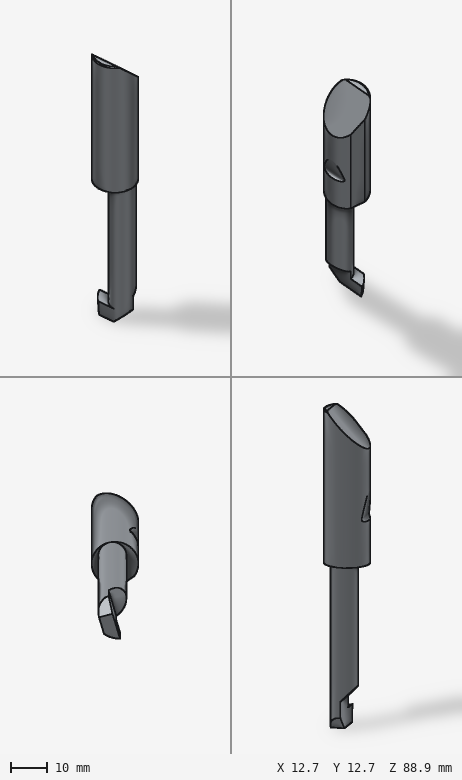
import cadquery as cq
import math

total_length = 88.9
shank_diameter = 12.7
shank_radius = shank_diameter / 2
shank_bottom = 45.8

bevel_start_y = -4.4
rim_chamfer = 0.4
flat_angle = 40.0
flat_direction = 180 - flat_angle / 2
notch_bottom = 58.1
notch_top = 66.3
notch_depth = 1.2
notch_radius = 0.9

neck_diameter = 7.65
neck_radius = neck_diameter / 2
neck_x = shank_radius - neck_radius
relief_face_z = 8.4

head_back_height = 5.0
head_front_height = 4.5
tip_x = -5.3
heel_x = -2.8
flank_bulge = 0.4
flank_lean = 0.31


def make_shank():
    """Round shank with a chamfered, bevelled end, a side flat and a clamping notch."""
    shank = (
        cq.Workplane("XY")
        .workplane(offset=shank_bottom)
        .circle(shank_radius)
        .extrude(total_length - shank_bottom)
        .faces(">Z")
        .chamfer(rim_chamfer)
    )

    bevel_run = shank_diameter
    bevel = (
        cq.Workplane("YZ")
        .moveTo(bevel_start_y, total_length)
        .lineTo(bevel_start_y + bevel_run, total_length)
        .lineTo(bevel_start_y + bevel_run, total_length - bevel_run)
        .close()
        .extrude(shank_radius, both=True)
    )

    flat_distance = shank_radius * math.cos(math.radians(flat_angle / 2))
    flat = (
        cq.Workplane("XY")
        .box(shank_radius, shank_diameter, total_length, centered=(False, True, False))
        .translate((flat_distance, 0, 0))
        .rotate((0, 0, 0), (0, 0, 1), flat_direction)
    )

    notch_floor_y = shank_radius - notch_depth
    notch = (
        cq.Workplane("YZ")
        .moveTo(shank_radius, notch_top)
        .lineTo(notch_floor_y, notch_bottom + notch_radius)
        .radiusArc((notch_floor_y + notch_radius, notch_bottom), -notch_radius)
        .lineTo(shank_radius, notch_bottom)
        .close()
        .extrude(shank_radius, both=True)
    )
    return shank.cut(bevel).cut(flat).cut(notch)


def make_neck():
    """Slender neck, halved at the lower end and bevelled at its +X corner."""
    neck = cq.Workplane("XY").center(neck_x, 0).circle(neck_radius).extrude(shank_bottom)

    relief = (
        cq.Workplane("YZ")
        .moveTo(0, 0)
        .lineTo(0, relief_face_z)
        .lineTo(neck_radius, relief_face_z + neck_radius)
        .lineTo(neck_radius, 0)
        .close()
        .extrude(shank_radius, both=True)
    )

    corner_bevel = (
        cq.Workplane("XZ")
        .moveTo(neck_x, 0)
        .lineTo(shank_radius, 0)
        .lineTo(shank_radius, neck_radius)
        .close()
        .extrude(neck_radius, both=True)
    )
    return neck.cut(relief).cut(corner_bevel)


def head_outline(plane, lean):
    """Head section with a convex flank, the flank shifted by lean along +X."""
    chord_x = heel_x - tip_x
    chord = math.hypot(chord_x, neck_radius)
    middle_x = (tip_x + heel_x) / 2 - flank_bulge * neck_radius / chord
    middle_y = -neck_radius / 2 - flank_bulge * chord_x / chord
    return (
        plane.moveTo(neck_x, 0)
        .lineTo(tip_x + lean, 0)
        .threePointArc((middle_x + lean, middle_y), (heel_x + lean, -neck_radius))
        .lineTo(neck_x, -neck_radius)
        .close()
    )


def make_head():
    """Hooked cutting head with a leaning flank and a top falling toward -Y."""
    lower = head_outline(cq.Workplane("XY"), flank_lean)
    head = head_outline(lower.workplane(offset=head_back_height), 0).loft(ruled=True)
    top_slope = (
        cq.Workplane("YZ")
        .moveTo(0, head_back_height)
        .lineTo(-neck_radius, head_back_height)
        .lineTo(-neck_radius, head_front_height)
        .close()
        .extrude(shank_radius, both=True)
    )
    return head.cut(top_slope)


result = make_shank().union(make_neck()).union(make_head())